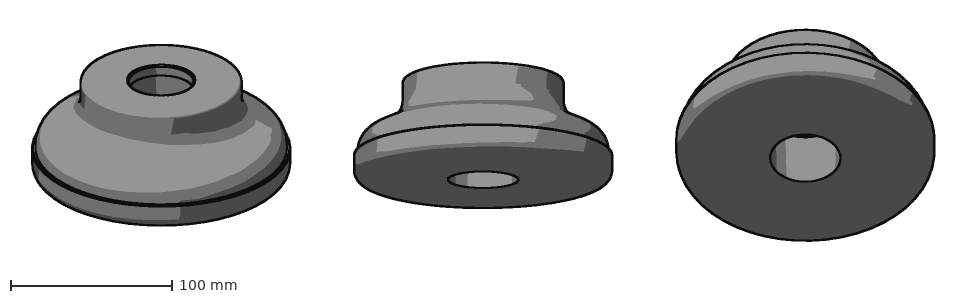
import cadquery as cq
import math

total_height = 63.0
base_radius = 80.0
base_height = 16.0
base_bottom_fillet = 6.0
base_rim_chamfer = 0.5

cap_radius = 78.0
neck_radius = 50.0
cap_thickness = 7.0
bell_arc_radius = 15.0
shoulder_center_z = 18.0
neck_center_z = 50.0
neck_top_fillet = 2.0

bore_radius = 20.2
bore_chamfer = 1.0
relief_radius = 21.8
relief_depth = 37.1

shoulder_center_r = cap_radius - bell_arc_radius
neck_center_r = neck_radius + bell_arc_radius
center_dr = neck_center_r - shoulder_center_r
center_dz = neck_center_z - shoulder_center_z
center_distance = math.hypot(center_dr, center_dz)
tangent_angle = math.atan2(center_dz, center_dr) - math.acos(2 * bell_arc_radius / center_distance)


def shoulder_point(angle, radius):
    """Point on the convex shoulder arc; angle is measured from the outward direction."""
    return (
        shoulder_center_r + radius * math.cos(angle),
        shoulder_center_z + radius * math.sin(angle),
    )


def neck_point(angle, radius):
    """Point on the concave neck arc; angle is measured from the inward direction."""
    return (
        neck_center_r - radius * math.cos(angle),
        neck_center_z - radius * math.sin(angle),
    )


def bell(inset):
    """Solid bell standing on the base band, its surface moved inward by inset."""
    shoulder_radius = bell_arc_radius - inset
    hollow_radius = bell_arc_radius + inset
    half_angle = tangent_angle / 2
    return (
        cq.Workplane("XZ")
        .moveTo(0, base_height)
        .lineTo(cap_radius - inset, base_height)
        .lineTo(*shoulder_point(0, shoulder_radius))
        .threePointArc(
            shoulder_point(half_angle, shoulder_radius),
            shoulder_point(tangent_angle, shoulder_radius),
        )
        .lineTo(*neck_point(tangent_angle, hollow_radius))
        .threePointArc(
            neck_point(half_angle, hollow_radius),
            neck_point(0, hollow_radius),
        )
        .lineTo(neck_radius - inset, total_height - inset)
        .lineTo(0, total_height - inset)
        .close()
        .revolve(360, (0, 0, 0), (0, 1, 0))
    )


def make_cap():
    """Bell shell with a rounded top edge and a chamfered central hole."""
    cap = bell(0).faces(">Z").edges().fillet(neck_top_fillet)
    cap = cap.cut(bell(cap_thickness))
    bore = cq.Workplane("XY").circle(bore_radius).extrude(total_height)
    cap = cap.cut(bore)
    hole_edge = cq.selectors.RadiusNthSelector(0)
    return cap.faces(">Z").edges(hole_edge).chamfer(bore_chamfer)


def make_base():
    """Round base band with a core that fills the cap, bored right through."""
    base = cq.Workplane("XY").circle(base_radius).extrude(base_height)
    base = base.faces("<Z").edges().fillet(base_bottom_fillet)
    base = base.faces(">Z").edges().chamfer(base_rim_chamfer)
    base = base.union(bell(cap_thickness))
    bore = cq.Workplane("XY").circle(bore_radius).extrude(total_height)
    relief = cq.Workplane("XY").circle(relief_radius).extrude(relief_depth)
    return base.cut(bore).cut(relief)


cap = make_cap()
base = make_base()

result = cq.Compound.makeCompound([cap.solids().val(), base.solids().val()])